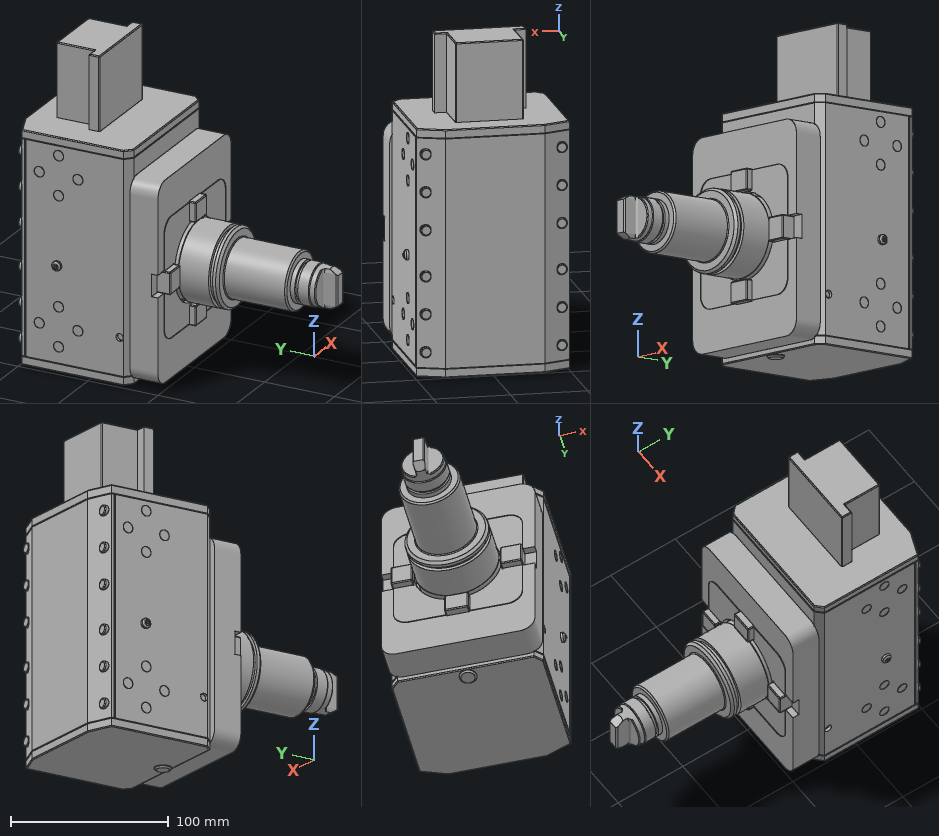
import cadquery as cq
import math


HOUSING_WIDTH = 99.0
HOUSING_DEPTH = 84.2
HOUSING_TOP = 88.5
HOUSING_BOTTOM = -73.5
HOUSING_MID = (HOUSING_TOP + HOUSING_BOTTOM) / 2
LID_THICKNESS = 5.8
FRONT_BEVEL = 5.0
REAR_FLAT_WIDTH = 64.2
REAR_BEVEL_DEPTH = 6.7
EDGE_BREAK = 0.6
SEAM = 0.5
SIDE_SEAM_FROM_BACK = 9.0

TOTAL_TOP = 140.5
MOTOR_WIDTH = 44.0
MOTOR_FLANGE_WIDTH = 59.2
MOTOR_FRONT = 32.3
MOTOR_FLANGE_DEPTH = 7.8
MOTOR_BACK = 67.2

COVER_WIDTH = 100.1
COVER_HEIGHT = 139.7
COVER_DEPTH = 20.0
COVER_CORNER = 10.0
PAD_SIZE = 84.0
PAD_CORNER = 10.0
PAD_HEIGHT = 0.5
KEY_WIDTH = 15.5
KEY_INNER = 28.6
KEY_OUTER = 42.6
KEY_HEIGHT = 5.0
KEY_SEAT_DEPTH = 4.5

COLLAR_BORE_DIA = 56.8
COLLAR_NECK_DIA = 53.5
COLLAR_DIA = 55.0
COLLAR_START = 2.2
COLLAR_GROOVE_DIA = 50.2
COLLAR_GROOVE_START = 24.3
COLLAR_GROOVE_END = 27.1
LIP_DIA = 54.7
LIP_END = 31.0
LIP_BEVEL = 1.7
SHANK_DIA = 40.0
SHANK_END = 75.8
SHANK_BEVEL = 1.0
NOSE_DIA = 29.0
NOSE_GROOVE_DIA = 26.0
NOSE_GROOVE_START = 79.0
NOSE_GROOVE_END = 81.2
NOSE_END = 89.4
TIP_DIA = 28.0
TIP_END = 93.5
TANG_END = 104.2
TANG_WIDTH = 7.8
TANG_ROOT_RADIUS = 1.3
TANG_BEVEL_LENGTH = 6.2
TANG_BEVEL_DEPTH = 3.5
TANG_CORNER_HEIGHT = 2.8
TANG_CORNER_WIDTH = 0.9

SCREW_DIA = 7.0
SCREW_X = 44.0
SCREW_FACE_Y = 81.2
SCREW_LENGTH = 8.6
SCREW_OFFSETS = (15.0, 39.8, 64.5)
NIPPLE_Y = 52.1
NIPPLE_DIA = 6.5
NIPPLE_SHOULDER = 1.5
NIPPLE_CAP_DIA = 3.9
NIPPLE_CAP = 2.5
NIPPLE_NOZZLE_DIA = 2.1
NIPPLE_TIP_DIA = 1.7
NIPPLE_TIP = 3.2
NIPPLE_ROOT = 2.2
PLUG_DIA = 7.0
PLUG_RECESS = 0.2
PLUG_CIRCLE_RADIUS = 13.8
PLUG_CIRCLE_Y = 51.2
PLUG_CIRCLE_HEIGHTS = (62.0, -42.2)
SIDE_HOLE_DIA = 5.2
SIDE_HOLE_DEPTH = 2.2
SIDE_HOLE_Y = 7.5
SIDE_HOLE_Z = -40.7
FOOT_DIA = 11.2
FOOT_Y = 6.2
FOOT_HEIGHT = 1.5
FOOT_BEVEL = 1.0

COVER_FACE = -COVER_DEPTH
HALF_WIDTH = HOUSING_WIDTH / 2


def box(x_min, x_max, y_min, y_max, z_min, z_max):
    size = (x_max - x_min, y_max - y_min, z_max - z_min)
    return cq.Workplane("XY").box(*size, centered=False).translate((x_min, y_min, z_min))


def front_slab(width, height, corner, y_back, thickness):
    """Rounded rectangle centred on the spindle, extruded toward -Y."""
    return (
        cq.Workplane("XZ", origin=(0, y_back, 0))
        .rect(width, height)
        .extrude(thickness)
        .edges("|Y")
        .fillet(corner)
    )


def housing_outline(z):
    rear_bevel_y = HOUSING_DEPTH - REAR_BEVEL_DEPTH
    right_half = [
        (HALF_WIDTH - FRONT_BEVEL, 0),
        (HALF_WIDTH, FRONT_BEVEL),
        (HALF_WIDTH, rear_bevel_y),
        (REAR_FLAT_WIDTH / 2, HOUSING_DEPTH),
    ]
    left_half = [(-x, y) for x, y in reversed(right_half)]
    return cq.Workplane("XY", origin=(0, 0, z)).polyline(right_half + left_half).close()


def make_housing():
    housing = (
        housing_outline(HOUSING_BOTTOM)
        .extrude(HOUSING_TOP - HOUSING_BOTTOM)
        .faces("<Z or >Z")
        .edges()
        .chamfer(EDGE_BREAK)
    )
    upper_seam = HOUSING_TOP - LID_THICKNESS
    lower_seam = HOUSING_BOTTOM + LID_THICKNESS
    for z in (upper_seam, lower_seam):
        ring = housing_outline(z - SEAM / 2).extrude(SEAM)
        core = housing_outline(z - SEAM / 2).offset2D(-SEAM).extrude(SEAM)
        housing = housing.cut(ring.cut(core))
    seam_y = HOUSING_DEPTH - SIDE_SEAM_FROM_BACK
    for x in (-HALF_WIDTH, HALF_WIDTH):
        housing = housing.cut(
            box(x - SEAM, x + SEAM, seam_y - SEAM, seam_y + SEAM, lower_seam, upper_seam)
        )
    return housing


def make_motor_block():
    flange_back = MOTOR_FRONT + MOTOR_FLANGE_DEPTH
    flange_x = MOTOR_FLANGE_WIDTH / 2
    body_x = MOTOR_WIDTH / 2
    return (
        cq.Workplane("XY", origin=(0, 0, HOUSING_TOP - LID_THICKNESS))
        .polyline([
            (-flange_x, MOTOR_FRONT),
            (flange_x, MOTOR_FRONT),
            (flange_x, flange_back),
            (body_x, flange_back),
            (body_x, MOTOR_BACK),
            (-body_x, MOTOR_BACK),
            (-body_x, flange_back),
            (-flange_x, flange_back),
        ])
        .close()
        .extrude(TOTAL_TOP - HOUSING_TOP + LID_THICKNESS)
        .edges("|Z and (<Y or >Y)")
        .chamfer(EDGE_BREAK)
        .faces(">Z")
        .edges()
        .chamfer(EDGE_BREAK)
    )


def make_cover():
    cover = front_slab(COVER_WIDTH, COVER_HEIGHT, COVER_CORNER, 0, COVER_DEPTH)
    cover = cover.union(front_slab(PAD_SIZE, PAD_SIZE, PAD_CORNER, COVER_FACE, PAD_HEIGHT))
    seat_floor = COVER_FACE + KEY_SEAT_DEPTH
    half_key = KEY_WIDTH / 2
    seats = box(KEY_INNER, COVER_WIDTH, -COVER_WIDTH, seat_floor, -half_key, half_key)
    seats = seats.union(seats.mirror("YZ"))
    cover = cover.cut(seats)
    collar_bore = (
        cq.Workplane("XZ", origin=(0, seat_floor, 0))
        .circle(COLLAR_BORE_DIA / 2)
        .extrude(COVER_DEPTH)
    )
    cover = cover.cut(collar_bore)
    key = (
        box(KEY_INNER, KEY_OUTER, COVER_FACE - KEY_HEIGHT, seat_floor, -half_key, half_key)
        .edges("|Y")
        .chamfer(EDGE_BREAK)
        .faces("<Y")
        .edges()
        .chamfer(EDGE_BREAK)
    )
    for quarter in range(4):
        cover = cover.union(key.rotate((0, 0, 0), (0, 1, 0), 90 * quarter))
    return cover


def make_tang():
    """Cross tang at the spindle tip, standing on the shoulder and pointing along +Y."""
    tip = TIP_DIA / 2
    half = TANG_WIDTH / 2
    root = half + TANG_ROOT_RADIUS
    blend_end = TIP_END + TANG_ROOT_RADIUS

    tang = (
        cq.Workplane("XY", origin=(0, 0, -tip))
        .moveTo(-root, TIP_END - EDGE_BREAK)
        .lineTo(root, TIP_END - EDGE_BREAK)
        .lineTo(root, TIP_END)
        .radiusArc((half, blend_end), TANG_ROOT_RADIUS)
        .lineTo(half, TANG_END - 2 * EDGE_BREAK)
        .lineTo(half - EDGE_BREAK, TANG_END)
        .lineTo(EDGE_BREAK - half, TANG_END)
        .lineTo(-half, TANG_END - 2 * EDGE_BREAK)
        .lineTo(-half, blend_end)
        .radiusArc((-root, TIP_END), TANG_ROOT_RADIUS)
        .close()
        .extrude(2 * tip)
    )
    round_envelope = cq.Workplane("XZ").circle(tip).extrude(-TANG_END)
    tang = tang.intersect(round_envelope)

    slope = (
        cq.Workplane("YZ", origin=(-tip, 0, 0))
        .polyline([
            (TANG_END - TANG_BEVEL_LENGTH, tip),
            (TANG_END, tip - TANG_BEVEL_DEPTH),
            (TANG_END, tip),
        ])
        .close()
        .extrude(2 * tip)
    )
    corner = (
        cq.Workplane("XZ", origin=(0, blend_end, 0))
        .polyline([
            (half, tip - TANG_CORNER_HEIGHT),
            (half, tip),
            (half - TANG_CORNER_WIDTH, tip),
        ])
        .close()
        .extrude(blend_end - TANG_END)
    )
    corner = corner.union(corner.mirror("YZ"))
    for cutter in (slope, corner):
        tang = tang.cut(cutter).cut(cutter.mirror("XY"))
    return tang


def make_spindle():
    collar = COLLAR_DIA / 2
    lip = LIP_DIA / 2
    shank = SHANK_DIA / 2
    nose = NOSE_DIA / 2
    tip = TIP_DIA / 2
    profile = [
        (0, -KEY_SEAT_DEPTH),
        (COLLAR_NECK_DIA / 2, -KEY_SEAT_DEPTH),
        (COLLAR_NECK_DIA / 2, COLLAR_START),
        (collar - EDGE_BREAK, COLLAR_START),
        (collar, COLLAR_START + EDGE_BREAK),
        (collar, COLLAR_GROOVE_START),
        (COLLAR_GROOVE_DIA / 2, COLLAR_GROOVE_START),
        (COLLAR_GROOVE_DIA / 2, COLLAR_GROOVE_END),
        (lip, COLLAR_GROOVE_END),
        (lip, LIP_END - LIP_BEVEL),
        (lip - LIP_BEVEL, LIP_END),
        (shank + EDGE_BREAK, LIP_END),
        (shank, LIP_END + EDGE_BREAK),
        (shank, SHANK_END - SHANK_BEVEL),
        (shank - SHANK_BEVEL, SHANK_END),
        (nose, SHANK_END),
        (nose, NOSE_GROOVE_START),
        (NOSE_GROOVE_DIA / 2, NOSE_GROOVE_START),
        (NOSE_GROOVE_DIA / 2, NOSE_GROOVE_END),
        (nose, NOSE_GROOVE_END),
        (nose, NOSE_END - EDGE_BREAK),
        (tip, NOSE_END),
        (tip, TIP_END - EDGE_BREAK),
        (tip - EDGE_BREAK, TIP_END),
        (0, TIP_END),
    ]
    spindle = (
        cq.Workplane("XY")
        .polyline(profile)
        .close()
        .revolve(360, (0, 0, 0), (0, 1, 0))
    )
    spindle = spindle.union(make_tang())
    return spindle.rotate((0, 0, 0), (0, 0, 1), 180).translate((0, COVER_FACE, 0))


def make_screw_heads():
    heights = [HOUSING_MID + side * offset for side in (-1, 1) for offset in SCREW_OFFSETS]
    places = [(x, z) for x in (-SCREW_X, SCREW_X) for z in heights]
    return (
        cq.Workplane("XZ", origin=(0, SCREW_FACE_Y, 0))
        .pushPoints(places)
        .circle(SCREW_DIA / 2)
        .extrude(SCREW_LENGTH)
        .faces(">Y")
        .edges()
        .chamfer(EDGE_BREAK)
    )


def make_nipple():
    """Grease nipple on the +X side."""
    profile = [
        (-NIPPLE_ROOT, 0),
        (-NIPPLE_ROOT, NIPPLE_DIA / 2),
        (NIPPLE_SHOULDER, NIPPLE_DIA / 2),
        (NIPPLE_CAP, NIPPLE_CAP_DIA / 2),
        (NIPPLE_CAP, NIPPLE_NOZZLE_DIA / 2),
        (NIPPLE_TIP, NIPPLE_TIP_DIA / 2),
        (NIPPLE_TIP, 0),
    ]
    return (
        cq.Workplane("XY")
        .polyline(profile)
        .close()
        .revolve(360, (0, 0, 0), (1, 0, 0))
        .translate((HALF_WIDTH, NIPPLE_Y, 0))
    )


def make_side_recesses():
    """Plug recesses and the single hole on the -X side."""
    places = []
    for z in PLUG_CIRCLE_HEIGHTS:
        for angle in (0, 90, 180, 270):
            dy = PLUG_CIRCLE_RADIUS * math.cos(math.radians(angle))
            dz = PLUG_CIRCLE_RADIUS * math.sin(math.radians(angle))
            places.append((PLUG_CIRCLE_Y + dy, z + dz))
    side = cq.Workplane("YZ", origin=(-HALF_WIDTH, 0, 0))
    plugs = side.pushPoints(places).circle(PLUG_DIA / 2).extrude(PLUG_RECESS)
    hole = (
        side.center(SIDE_HOLE_Y, SIDE_HOLE_Z)
        .circle(SIDE_HOLE_DIA / 2)
        .extrude(SIDE_HOLE_DEPTH)
    )
    return plugs.union(hole)


def make_foot():
    return (
        cq.Workplane("XY", origin=(0, FOOT_Y, HOUSING_BOTTOM - FOOT_HEIGHT))
        .circle(FOOT_DIA / 2)
        .extrude(FOOT_HEIGHT + LID_THICKNESS)
        .faces("<Z")
        .edges()
        .chamfer(FOOT_BEVEL)
    )


housing = make_housing().union(make_screw_heads())
recesses = make_side_recesses()
housing = housing.cut(recesses).cut(recesses.mirror("YZ"))
nipple = make_nipple()

result = (
    housing
    .union(make_motor_block())
    .union(make_cover())
    .union(make_spindle())
    .union(nipple)
    .union(nipple.mirror("YZ"))
    .union(make_foot())
)